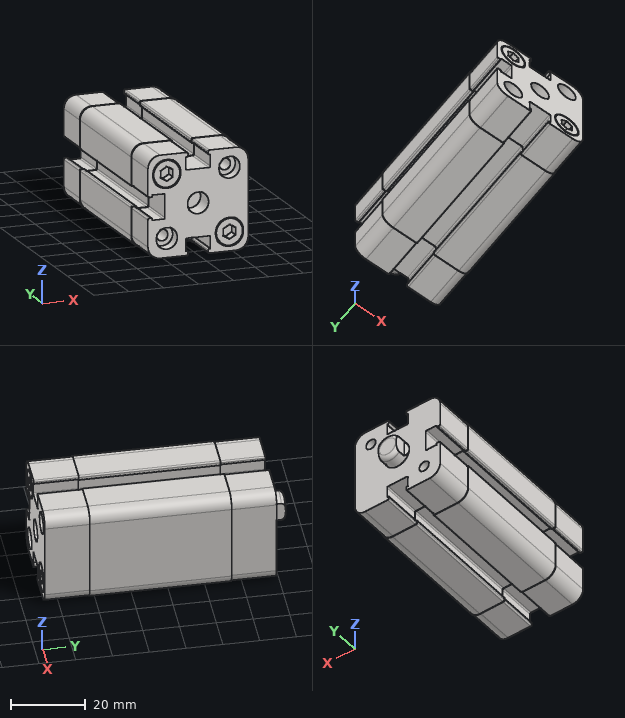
import cadquery as cq
import math

total_length = 67.5
rod_length = 4.5
cap_length = 12.2
barrel_length = total_length - rod_length - 2 * cap_length

barrel_width = 29
corner_radius = 3.5
cap_inset = 0.15

slot_opening = 5.55
slot_inner_width = 6.75
slot_depth = 4.85
lip_thickness = 1.55
slot_edge_radius = 0.4

corner_offset = 9.0
screw_recess_diameter = 8.0
screw_head_diameter = 7.5
screw_head_height = 4.0
hex_across_flats = 3.5
hex_depth = 3.0
mounting_hole_diameter = 3.25
counterbore_diameter = 6.0
counterbore_depth = 3.5

center_hole_diameter = 6.0
center_hole_depth = 6.0

rod_diameter = 8.0
rod_end_radius = 1.3
rod_across_flats = 6.0
rod_shoulder = (rod_diameter - rod_across_flats) / 2

front_y = -total_length / 2
barrel_y = front_y + cap_length
rear_cap_y = barrel_y + barrel_length
rear_y = rear_cap_y + cap_length
rod_end_y = rear_y + rod_length


def cylinder(diameter, y, length, x=0, z=0):
    return cq.Workplane("XZ", origin=(x, y, z)).circle(diameter / 2).extrude(-length)


def slot_cutter(inset, y, length):
    """T-slot in the top side, grown by the same amount that the section is inset."""
    top = barrel_width / 2 - inset
    lip_bottom = barrel_width / 2 - lip_thickness + inset
    floor = barrel_width / 2 - slot_depth - inset
    half_opening = slot_opening / 2 + inset
    half_inner = slot_inner_width / 2 + inset
    radius = slot_edge_radius
    mid = radius * (1 - math.sqrt(0.5))
    return (
        cq.Workplane("XZ", origin=(0, y, 0))
        .moveTo(-half_opening - radius, top)
        .threePointArc((-half_opening - mid, top - mid), (-half_opening, top - radius))
        .lineTo(-half_opening, lip_bottom + radius)
        .threePointArc((-half_opening - mid, lip_bottom + mid), (-half_opening - radius, lip_bottom))
        .lineTo(-half_inner, lip_bottom)
        .lineTo(-half_inner, floor + radius)
        .threePointArc((-half_inner + mid, floor + mid), (-half_inner + radius, floor))
        .lineTo(half_inner - radius, floor)
        .threePointArc((half_inner - mid, floor + mid), (half_inner, floor + radius))
        .lineTo(half_inner, lip_bottom)
        .lineTo(half_opening + radius, lip_bottom)
        .threePointArc((half_opening + mid, lip_bottom + mid), (half_opening, lip_bottom + radius))
        .lineTo(half_opening, top - radius)
        .threePointArc((half_opening + mid, top - mid), (half_opening + radius, top))
        .close()
        .extrude(-length)
    )


def slotted_block(inset, y, length):
    """Rounded square length of profile with slots in the +Z, -Z and -X sides."""
    width = barrel_width - 2 * inset
    block = (
        cq.Workplane("XZ", origin=(0, y, 0))
        .rect(width, width)
        .extrude(-length)
        .edges("|Y")
        .fillet(corner_radius)
    )
    cutter = slot_cutter(inset, y, length)
    for angle in (0, 180, -90):
        block = block.cut(cutter.rotate((0, 0, 0), (0, 1, 0), angle))
    return block


def piston_rod():
    rod = cylinder(rod_diameter, rear_y, rod_length).faces(">Y").edges().fillet(rod_end_radius)
    flats = (
        cq.Workplane("XY")
        .polyline([
            (-rod_diameter / 2, rear_y),
            (rod_diameter / 2, rear_y),
            (rod_across_flats / 2, rear_y + rod_shoulder),
            (rod_across_flats / 2, rod_end_y),
            (-rod_across_flats / 2, rod_end_y),
            (-rod_across_flats / 2, rear_y + rod_shoulder),
        ])
        .close()
        .extrude(rod_diameter / 2, both=True)
    )
    return rod.intersect(flats)


def screw_cutter(x, z):
    """Ring gap around a sunk screw head, plus its hexagon socket."""
    head = cylinder(screw_head_diameter, front_y, screw_head_height, x, z)
    gap = cylinder(screw_recess_diameter, front_y, screw_head_height, x, z).cut(head)
    socket = (
        cq.Workplane("XZ", origin=(x, front_y, z))
        .polygon(6, hex_across_flats, circumscribed=True)
        .extrude(-hex_depth)
    )
    return gap.union(socket)


def mounting_hole_cutter(x, z):
    hole = cylinder(mounting_hole_diameter, front_y, rear_y - front_y, x, z)
    return hole.union(cylinder(counterbore_diameter, front_y, counterbore_depth, x, z))


result = (
    slotted_block(cap_inset, front_y, cap_length)
    .union(slotted_block(0, barrel_y, barrel_length))
    .union(slotted_block(cap_inset, rear_cap_y, cap_length))
    .union(piston_rod())
)
result = result.cut(cylinder(center_hole_diameter, front_y, center_hole_depth))

for side in (-1, 1):
    corner_x = side * corner_offset
    result = result.cut(screw_cutter(corner_x, -corner_x))
    result = result.cut(mounting_hole_cutter(corner_x, corner_x))